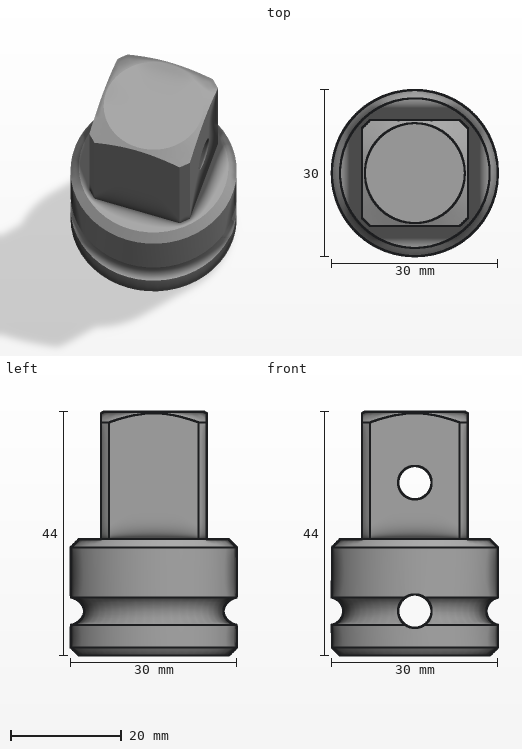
import cadquery as cq

total_height = 44.0
body_diameter = 30.0
body_height = 21.0
body_chamfer = 1.5

groove_height = 8.0
groove_width = 4.95
groove_depth = 2.05

square_side = 19.1
square_corner_chamfer = 1.45
tip_flat_diameter = 18.05
tip_cone_drop = 1.95

pin_hole_diameter = 6.0
square_hole_height = 31.2

body_radius = body_diameter / 2
tip_flat_radius = tip_flat_diameter / 2
corner_radius = ((square_side / 2) ** 2 + (square_side / 2 - square_corner_chamfer) ** 2) ** 0.5
groove_bottom = groove_height - groove_width / 2
groove_top = groove_height + groove_width / 2


def make_body():
    """Round body with chamfered ends and an arc-shaped groove around it."""
    end_radius = body_radius - body_chamfer
    profile = (
        cq.Workplane("XZ")
        .lineTo(end_radius, 0)
        .lineTo(body_radius, body_chamfer)
        .lineTo(body_radius, groove_bottom)
        .threePointArc((body_radius - groove_depth, groove_height), (body_radius, groove_top))
        .lineTo(body_radius, body_height - body_chamfer)
        .lineTo(end_radius, body_height)
        .lineTo(0, body_height)
        .close()
    )
    return profile.revolve(360, (0, 0, 0), (0, 1, 0))


def make_square_drive():
    """Square drive with cut corners and a conical lead-in at its tip."""
    square = (
        cq.Workplane("XY")
        .rect(square_side, square_side)
        .extrude(total_height)
        .edges("|Z")
        .chamfer(square_corner_chamfer)
    )
    tip_envelope = (
        cq.Workplane("XZ")
        .lineTo(corner_radius, 0)
        .lineTo(corner_radius, total_height - tip_cone_drop)
        .lineTo(tip_flat_radius, total_height)
        .lineTo(0, total_height)
        .close()
        .revolve(360, (0, 0, 0), (0, 1, 0))
    )
    return square.intersect(tip_envelope)


def make_pin_hole(height):
    """Cylinder along Y that passes through the whole body at the given height."""
    return (
        cq.Workplane("XZ")
        .center(0, height)
        .circle(pin_hole_diameter / 2)
        .extrude(body_radius, both=True)
    )


result = make_body().union(make_square_drive())
for hole_height in (groove_height, square_hole_height):
    result = result.cut(make_pin_hole(hole_height))